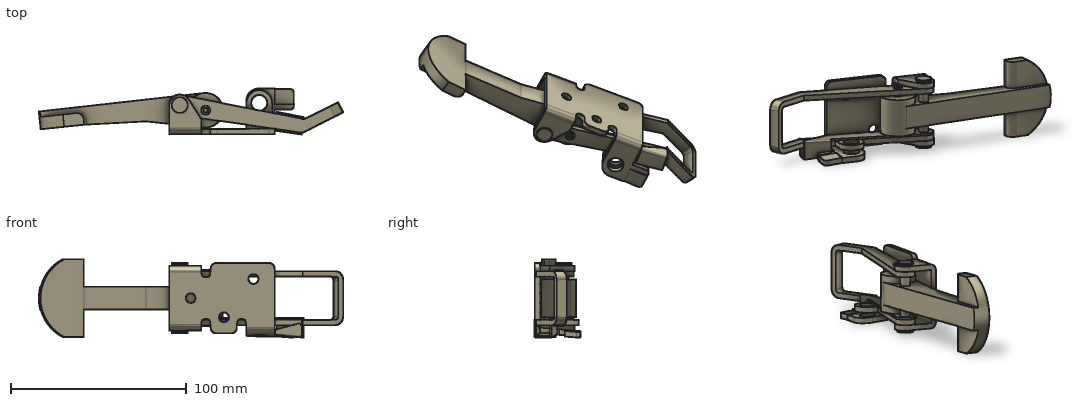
import cadquery as cq
import math

REACH = 104.0
SHEET = 3.1

PIVOT = (80.3, 16.6)
LINK = (95.0, 13.7)

EAR_FACE = 18.5
ARM_OUT = EAR_FACE - SHEET
ARM_IN = ARM_OUT - SHEET

BASE_LEFT = 74.2
BASE_RIGHT = 134.3
BASE_HALF = 20.1
BASE_CORNER = 3.5
EAR_RADIUS = PIVOT[0] - BASE_LEFT
EAR_RIGHT = 92.5
EAR_SHOULDER = 8.7
BEND_RADIUS = 3.6
NOTCH_WIDTH = 5.2
NOTCH_DEPTH = 11.8
SCREW_RADIUS = 2.8
SCREW_HOLES = [(86.5, 0), (122.2, 11.0), (105.4, -11.0)]

LOCK_HOLE = (125.5, 17.9)
LOCK_RADIUS = 4.5
LOCK_LEFT = 118.0
LOCK_TOP = 26.2
LOCK_FOOT = -20.0
LOCK_LEAN = 1.9
LOCK_CORNER = 7.6
TAB_LEFT = BASE_RIGHT
TAB_RIGHT = 145.3
TAB_BOTTOM = 14.0
TAB_TOP = 25.8
TAB_SPLIT = 17.2
TAB_CORNER = 2.0
TAB_ANGLE = 4.0

END_RADIUS = 5.7
BEND_TOP = (151.0, 8.7)
BEND_BOTTOM = (150.3, 0.9)
TIP_TOP = (170.4, 18.2)
TIP_BOTTOM = (173.4, 12.5)
LOOP_RADIUS = 5.2
LOOP_INNER_RADIUS = LOOP_RADIUS - SHEET
LUG_RADIUS = 7.3

HOOK_HALF = 6.6
HUB_RADIUS = 9.9
HUB_HALF = 10.7
HOOK_TOP_LEFT = (0.0, 13.0)
HOOK_KNEE = (61.0, 7.3)
HOOK_OVERHANG = 1.7
HEAD_RIGHT = 25.7
HEAD_TOP = 12.5
HEAD_BOTTOM = 5.4
HEAD_TILT = 6.0
HEAD_HALF = 22.2
HEAD_FLAT = 13.5
HEAD_EDGE_RADIUS = 3.8

PIVOT_RADIUS = 2.8
PIN_HEAD_RADIUS = 4.5
PIN_END = 20.1
PIN_CHAMFER = 0.7
LINK_RADIUS = 2.6
LINK_BORE = 1.4
LINK_BORE_DEPTH = 1.7
LINK_HALF = 16.1

CLIP_SHEET = 1.13
CLIP_FOLD = 0.9
CLIP_TOP_LEFT = 135.5
CLIP_TOP_RIGHT = 150.8
CLIP_BOTTOM_LEFT = 134.5
CLIP_BOTTOM_RIGHT = 149.6
CLIP_INNER = -ARM_IN + CLIP_SHEET
CLIP_OUT_LEFT = -21.0
CLIP_OUT_RIGHT = -22.5
FLAP_LEFT = -18.0
FLAP_RIGHT = -14.2
FLAP_CORNER = 1.2


def tangent_point(center, radius, point, side):
    """Where a line from `point` touches a circle; side +1 or -1 picks the counterclockwise or clockwise one."""
    dx = point[0] - center[0]
    dy = point[1] - center[1]
    angle = math.atan2(dy, dx) + side * math.acos(radius / math.hypot(dx, dy))
    return (center[0] + radius * math.cos(angle), center[1] + radius * math.sin(angle))


def prism_z(points, z_from, z_to):
    """Polygon in X, Y extruded along Z."""
    return cq.Workplane("XY", origin=(0, 0, z_from)).polyline(points).close().extrude(z_to - z_from)


def prism_y(points):
    """Polygon in X, Z extruded far along Y in both directions."""
    return cq.Workplane("XZ").polyline(points).close().extrude(REACH, both=True)


def rod(center, radius, z_from, z_to):
    """Round bar along Z."""
    return cq.Workplane("XY", origin=(*center, z_from)).circle(radius).extrude(z_to - z_from)


def block(x_from, x_to, y_from, y_to, z_from, z_to):
    """Rectangular block between the given limits."""
    box = cq.Workplane("XY").box(x_to - x_from, y_to - y_from, z_to - z_from, centered=False)
    return box.translate((x_from, y_from, z_from))


def pivot_channel():
    """U-shaped left part of the base with the two pivot ears."""
    top = PIVOT[1] + EAR_RADIUS
    outer = block(BASE_LEFT, EAR_RIGHT, 0, top, -EAR_FACE, EAR_FACE).edges("|X and <Y").fillet(BEND_RADIUS)
    inner = block(BASE_LEFT, EAR_RIGHT, SHEET, top, -ARM_OUT, ARM_OUT)
    inner = inner.edges("|X and <Y").fillet(BEND_RADIUS - SHEET)
    shoulder = (EAR_RIGHT, EAR_SHOULDER)
    touch = tangent_point(PIVOT, EAR_RADIUS, shoulder, 1)
    side = (
        cq.Workplane("XY")
        .moveTo(BASE_LEFT, 0)
        .lineTo(EAR_RIGHT, 0)
        .lineTo(*shoulder)
        .lineTo(*touch)
        .threePointArc((PIVOT[0], top), (BASE_LEFT, PIVOT[1]))
        .close()
        .extrude(REACH, both=True)
    )
    return outer.cut(inner).intersect(side)


def mounting_plate():
    """Flat right part of the base, with relief notches beside the bends."""
    notch_end = EAR_RIGHT + NOTCH_WIDTH
    lobe_right = LOCK_LEFT - NOTCH_WIDTH
    lock_edge = LOCK_FOOT + BEND_RADIUS
    wide = block(notch_end, BASE_RIGHT, 0, SHEET, 0, BASE_HALF).edges("|Y and >Z").fillet(BASE_CORNER)
    lobe = block(notch_end, lobe_right, 0, SHEET, -BASE_HALF, 0).edges("|Y and <Z").fillet(BASE_CORNER)
    bridge = block(EAR_RIGHT, BASE_RIGHT, 0, SHEET, lock_edge, -lock_edge)
    plate = wide.union(lobe).union(bridge)
    for notch_x, side in ((EAR_RIGHT, 1), (EAR_RIGHT, -1), (lobe_right, -1)):
        plate = plate.cut(notch(notch_x + NOTCH_WIDTH / 2, side))
    return plate


def notch(x, side):
    """Round-ended slot open toward the given side."""
    radius = NOTCH_WIDTH / 2
    floor = side * (NOTCH_DEPTH + radius)
    mouth = side * BASE_HALF
    slot = prism_y([(x - radius, floor), (x + radius, floor), (x + radius, mouth), (x - radius, mouth)])
    return slot.union(cq.Workplane("XZ").center(x, floor).circle(radius).extrude(REACH, both=True))


def lock_sheet(x_from, x_to):
    """Leaning sheet of the padlock ear, with its foot in the mounting plate."""
    top_out = LOCK_FOOT - LOCK_LEAN
    foot_in = LOCK_FOOT + SHEET
    section = [
        (0, foot_in + SHEET), (0, LOCK_FOOT), (LOCK_TOP, top_out), (LOCK_TOP, top_out + SHEET),
        (SHEET, foot_in), (SHEET, foot_in + SHEET),
    ]
    sheet = cq.Workplane("YZ", origin=(x_from, 0, 0)).polyline(section).close().extrude(x_to - x_from)
    corner = cq.selectors.NearestToPointSelector(((x_from + x_to) / 2, 0, LOCK_FOOT))
    return sheet.edges(corner).fillet(BEND_RADIUS)


def tab_part(y_from, y_to, corner):
    """Part of the padlock ear's side tab between two heights, with one rounded outer corner."""
    outline = block(TAB_LEFT, TAB_RIGHT, y_from, y_to, -REACH, 0)
    outline = outline.edges("|Z and >X").edges(corner).fillet(TAB_CORNER)
    return lock_sheet(TAB_LEFT, TAB_RIGHT).intersect(outline)


def padlock_ear():
    """Leaning ear with a padlock hole; its side tab is a straight strip below an outward-bent flap."""
    outline = block(LOCK_LEFT, BASE_RIGHT, 0, LOCK_TOP, -REACH, 0)
    outline = outline.edges("|Z and <X and >Y").fillet(LOCK_CORNER)
    ear = lock_sheet(LOCK_LEFT, BASE_RIGHT).intersect(outline)
    strip = tab_part(TAB_BOTTOM, TAB_SPLIT, "<Y")
    hinge_z = LOCK_FOOT - LOCK_LEAN + SHEET
    flap = tab_part(TAB_SPLIT, TAB_TOP, ">Y").rotate(
        (TAB_LEFT, 0, hinge_z), (TAB_LEFT, 1, hinge_z), TAB_ANGLE)
    return ear.union(strip).union(flap).cut(rod(LOCK_HOLE, LOCK_RADIUS, -REACH, 0))


def make_base():
    base = pivot_channel().union(mounting_plate()).union(padlock_ear())
    for x, z in SCREW_HOLES:
        base = base.cut(cq.Workplane("XZ").center(x, z).circle(SCREW_RADIUS).extrude(-SHEET))
    return base.cut(rod(PIVOT, PIVOT_RADIUS, -EAR_FACE, EAR_FACE))


ARM_TOP_START = tangent_point(PIVOT, END_RADIUS, BEND_TOP, 1)
ARM_BOTTOM_START = tangent_point(PIVOT, END_RADIUS, BEND_BOTTOM, -1)


def straight_arm(z_from, z_to):
    """Tapering straight part of an arm with its round pivot end."""
    taper = prism_z([ARM_TOP_START, PIVOT, ARM_BOTTOM_START, BEND_BOTTOM, BEND_TOP], z_from, z_to)
    return taper.union(rod(PIVOT, END_RADIUS, z_from, z_to))


def make_handle():
    """Loop handle: two arms joined by a bar at the raised end, with a padlock lug on the lower arm."""
    grip = prism_z([BEND_BOTTOM, TIP_BOTTOM, TIP_TOP, BEND_TOP], -ARM_OUT, ARM_OUT)
    handle = straight_arm(-ARM_OUT, ARM_OUT).union(grip)
    handle = handle.intersect(loop_prism(0, ARM_OUT, LOOP_RADIUS))
    handle = handle.cut(loop_prism(SHEET, ARM_IN, LOOP_INNER_RADIUS))
    handle = handle.union(padlock_lug())
    handle = handle.cut(rod(LOCK_HOLE, LOCK_RADIUS, -ARM_OUT, -ARM_IN))
    for axis, radius in ((PIVOT, PIVOT_RADIUS), (LINK, LINK_RADIUS)):
        handle = handle.cut(rod(axis, radius, -ARM_OUT, ARM_OUT))
    return handle


def loop_prism(inset, half_width, radius):
    """Round-cornered block square to the grip, ending at a given inset from the tip of the handle."""
    slope = math.degrees(math.atan2(TIP_BOTTOM[1] - BEND_BOTTOM[1], TIP_BOTTOM[0] - BEND_BOTTOM[0]))
    prism = block(-2 * REACH, -inset, -REACH, REACH, -half_width, half_width)
    prism = prism.edges("|Y and >X").fillet(radius)
    return prism.rotate((0, 0, 0), (0, 0, 1), slope).translate((*TIP_BOTTOM, 0))


def padlock_lug():
    """Round-topped lug standing on the lower arm; its foot ends inside the arm."""
    lug_x, lug_y = LOCK_HOLE
    foot = BEND_TOP[1]
    stem = block(lug_x - LUG_RADIUS, lug_x + LUG_RADIUS, foot, lug_y, -ARM_OUT, -ARM_IN)
    return stem.union(rod(LOCK_HOLE, LUG_RADIUS, -ARM_OUT, -ARM_IN))


def make_hook():
    """T-shaped draw hook: arm with a hub on the link axis and a wide head plate with a round front."""
    head_slope = math.tan(math.radians(HEAD_TILT))
    head_left = -HOOK_OVERHANG
    head_drop = head_slope * (HEAD_RIGHT - head_left)
    head_corner = (HEAD_RIGHT, HEAD_BOTTOM)
    head_front = (head_left, HEAD_BOTTOM - head_drop)
    top_touch = tangent_point(LINK, HUB_RADIUS, HOOK_TOP_LEFT, -1)
    knee_touch = tangent_point(LINK, HUB_RADIUS, HOOK_KNEE, 1)
    top_slope = (top_touch[1] - HOOK_TOP_LEFT[1]) / (top_touch[0] - HOOK_TOP_LEFT[0])
    arm_front = (head_left, HOOK_TOP_LEFT[1] + top_slope * head_left)
    arm = prism_z(
        [arm_front, head_front, head_corner, HOOK_KNEE, knee_touch, LINK, top_touch], -HOOK_HALF, HOOK_HALF)
    head = prism_z(
        [head_front, head_corner, (HEAD_RIGHT, HEAD_TOP), (head_left, HEAD_TOP - head_drop)],
        -HEAD_HALF, HEAD_HALF)
    head = head.edges("|Z and >X and >Y").fillet(HEAD_EDGE_RADIUS)
    front = (
        cq.Workplane("XZ")
        .moveTo(HEAD_FLAT, -HEAD_HALF)
        .threePointArc((0, 0), (HEAD_FLAT, HEAD_HALF))
        .lineTo(2 * REACH, HEAD_HALF)
        .lineTo(2 * REACH, -HEAD_HALF)
        .close()
        .extrude(REACH, both=True)
        .rotate((0, 0, 0), (0, 0, 1), HEAD_TILT)
        .translate((*HOOK_TOP_LEFT, 0))
    )
    hook = arm.union(head).intersect(front).union(rod(LINK, HUB_RADIUS, -HUB_HALF, HUB_HALF))
    return hook.cut(rod(LINK, LINK_RADIUS, -HUB_HALF, HUB_HALF))


def make_pivot_pin(side):
    """Pivot stub from the hook's side face out through arm and ear, its head chamfered underneath."""
    shank = rod(PIVOT, PIVOT_RADIUS, HOOK_HALF, EAR_FACE)
    head = rod(PIVOT, PIN_HEAD_RADIUS, EAR_FACE, PIN_END).faces("<Z").chamfer(PIN_CHAMFER)
    pin = shank.union(head)
    return pin if side > 0 else pin.mirror("XY")


def make_link_pin():
    """Rivet joining hook and handle, with a blind bore in each end."""
    pin = rod(LINK, LINK_RADIUS, -LINK_HALF, LINK_HALF)
    floor = LINK_HALF - LINK_BORE_DEPTH
    pin = pin.cut(rod(LINK, LINK_BORE, floor, LINK_HALF))
    return pin.cut(rod(LINK, LINK_BORE, -LINK_HALF, -floor))


def height_on(line_start, line_end, x):
    """Height at x on the straight line through two points."""
    slope = (line_end[1] - line_start[1]) / (line_end[0] - line_start[0])
    return line_start[1] + slope * (x - line_start[0])


def arm_top(x):
    return height_on(ARM_TOP_START, BEND_TOP, x)


def arm_bottom(x):
    return height_on(ARM_BOTTOM_START, BEND_BOTTOM, x)


def clip_out(x):
    """Z of the sloping outer wall at x."""
    return height_on((CLIP_BOTTOM_LEFT, CLIP_OUT_LEFT), (CLIP_TOP_RIGHT, CLIP_OUT_RIGHT), x)


def wrap_block(skin, wall, overhang):
    """Block round the arm near the bend: skin is its margin beyond the arm's edges and inner face,
    wall its setback from the clip's outer wall, overhang its extra length past both clip ends."""
    top_left = CLIP_TOP_LEFT - overhang
    bottom_left = CLIP_BOTTOM_LEFT - overhang
    top_right = CLIP_TOP_RIGHT + overhang
    bottom_right = CLIP_BOTTOM_RIGHT + overhang
    side = [
        (top_left, arm_top(top_left) + skin),
        (bottom_left, arm_bottom(bottom_left) - skin),
        (bottom_right, arm_bottom(bottom_right) - skin),
        (top_right, arm_top(top_right) + skin),
    ]
    inner = -ARM_IN + skin
    outline = [
        (bottom_left, inner),
        (top_right, inner),
        (top_right, clip_out(top_right) + wall),
        (bottom_left, clip_out(bottom_left) + wall),
    ]
    return prism_z(side, -REACH, inner).intersect(prism_y(outline))


def make_clip():
    """Thin clip lying on the inner face of the lower arm and wrapping round it near the bend."""
    wrap = wrap_block(CLIP_SHEET, 0, 0)
    mid_x = (CLIP_BOTTOM_LEFT + CLIP_TOP_RIGHT) / 2
    mid_out = clip_out(mid_x)
    top = arm_top(mid_x) + CLIP_SHEET
    bottom = arm_bottom(mid_x) - CLIP_SHEET
    for y, z in ((top, CLIP_INNER), (top, mid_out), (bottom, mid_out)):
        fold = cq.selectors.NearestToPointSelector((mid_x, y, z))
        wrap = wrap.edges(fold).fillet(CLIP_FOLD)
    clip = straight_arm(-ARM_IN, CLIP_INNER).union(wrap).cut(wrap_block(0, CLIP_SHEET, CLIP_SHEET))
    clip = clip.cut(leaf_trim()).cut(flap_trim())
    for axis, radius in ((PIVOT, PIVOT_RADIUS), (LINK, LINK_RADIUS)):
        clip = clip.cut(rod(axis, radius, -ARM_IN, CLIP_INNER))
    return clip


def leaf_trim():
    """Region beyond the slanting end of the leaf, from the lower wrap end to the arm's upper edge."""
    start = (CLIP_BOTTOM_LEFT, arm_bottom(CLIP_BOTTOM_LEFT))
    end = (CLIP_TOP_RIGHT, arm_top(CLIP_TOP_RIGHT))
    return prism_z([start, (start[0], -REACH), (REACH * 2, -REACH), (REACH * 2, end[1]), end], -ARM_IN, 0)


def flap_trim():
    """Region below the arm beyond the slanting edge of the flap."""
    start = (CLIP_BOTTOM_LEFT, arm_bottom(CLIP_BOTTOM_LEFT))
    end = (CLIP_BOTTOM_RIGHT, arm_bottom(CLIP_BOTTOM_RIGHT))
    below_arm = prism_z([start, end, (end[0] + CLIP_SHEET, -REACH), (start[0], -REACH)], -REACH, 0)
    beyond_edge = prism_y([
        (start[0], FLAP_LEFT), (end[0] - FLAP_CORNER, FLAP_RIGHT), (end[0], FLAP_RIGHT - FLAP_CORNER),
        (end[0], 0), (start[0], 0),
    ])
    return below_arm.intersect(beyond_edge)


base = make_base()
handle = make_handle()
hook = make_hook()
pivot_pins = [make_pivot_pin(side) for side in (1, -1)]
link_pin = make_link_pin()
clip = make_clip()

result = cq.Compound.makeCompound([
    base.val(), handle.val(), hook.val(), *[pin.val() for pin in pivot_pins], link_pin.val(), clip.val(),
])